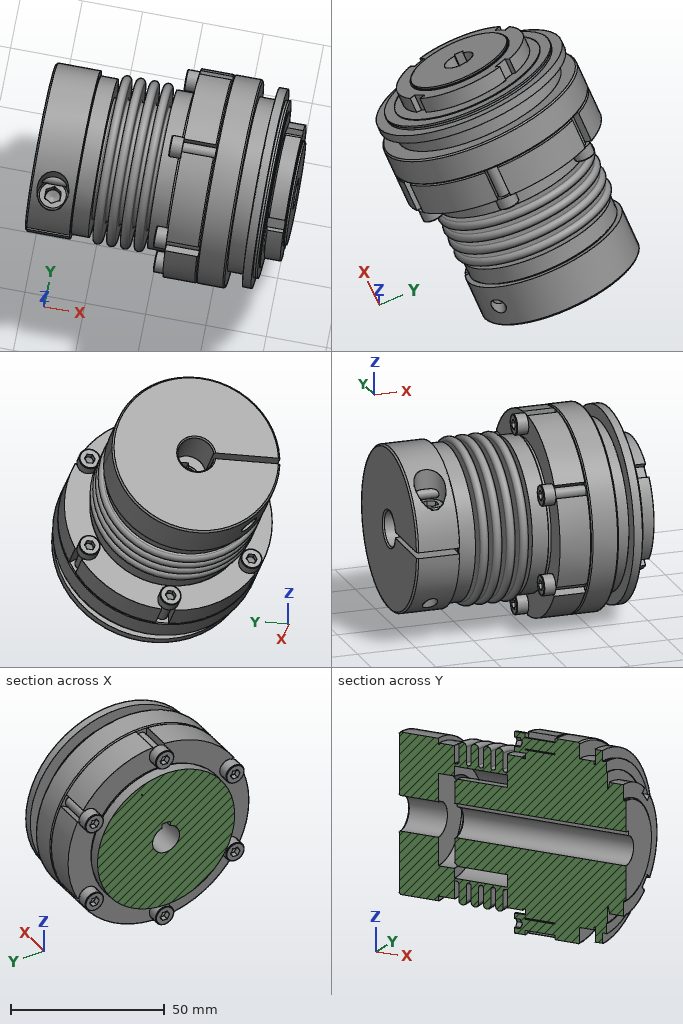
import cadquery as cq
import math

LENGTH = 84.5

HUB_DIA = 55.8
HUB_END = 14.7
HUB_CHAMFER = 0.6
SLIT_WIDTH = 2.0

HUB_BORE_DIA = 12.0
NUT_BORE_DIA = 10.1
BORE_CHAMFER = 0.5
KEYWAY_WIDTH = 3.0
KEYWAY_TOP = 6.4

COLLAR_DIA = 52.6
NECK_DIA = 51.6
FRONT_COLLAR_START = 15.0
FRONT_COLLAR_END = 20.7
REAR_COLLAR_START = 40.3
REAR_COLLAR_END = 46.0
WAVE_COUNT = 4
WAVE_PITCH = 4.6
WAVE_WIDTH = 2.95
CREST_DIA = HUB_DIA
ROOT_DIA = 40.2

COLLAR_CAVITY_DIA = 31.4
BELLOWS_CAVITY_DIA = 38.2
BOSS_DIA = 30.0
BOSS_START = FRONT_COLLAR_END
BOSS_CHAMFER = 1.2

FLANGE_DIA = 69.0
FLANGE_START = 47.0
FLANGE_SPLIT = 58.0
FLANGE_END = 67.35
FLANGE_CHAMFER = 0.5
SPLIT_CHAMFER = 0.4

RING_DIA = 57.9
RING_END = 72.7
RING_GROOVE_DIA = 55.8
WASHER_DIA = 66.1
WASHER_START = 73.0
WASHER_END = 75.9
STOP_DIA = 58.8
STOP_END = 76.6
CLIP_DIA = 59.0
CLIP_END = 77.3
SHIM_END = 77.65

NUT_DIA = 45.1
NUT_FACE_DIA = 39.3
NUT_TAPER = 0.7
NUT_END = 83.6
NUT_SLOT_WIDTH = 4.8
NUT_SLOT_FLOOR = 20.3
NUT_SLOT_COUNT = 4
FIRST_NUT_SLOT_ANGLE = 45
SHOULDER_DIA = 35.0
SHOULDER_END = 83.9
SLEEVE_DIA = 34.1

SCREW_COUNT = 6
SCREW_HEAD_DIA = 7.0
SCREW_HEAD_HEIGHT = 4.05
SCREW_SHANK_DIA = 4.0
SCREW_SOCKET = 3.0
SCREW_SOCKET_DEPTH = 2.0
SCREW_RADIUS = (FLANGE_DIA - SCREW_HEAD_DIA) / 2
SCREW_SLOT_WIDTH = 4.4
SCREW_CHAMFER = 0.25

CLAMP_X = 7.5
CLAMP_Y = -19.0
CLAMP_HEAD_TOP = 14.3
CLAMP_HEAD_DIA = 10.0
CLAMP_HEAD_HEIGHT = 6.0
CLAMP_HEAD_CHAMFER = 0.6
CLAMP_SHANK_DIA = 6.0
CLAMP_SHANK_END = -11.8
CLAMP_SOCKET = 5.0
CLAMP_SOCKET_DEPTH = 2.95
COUNTERBORE_DIA = 10.4
CLEARANCE_DIA = 6.4
TAP_DIA = 5.0
PIN_DIA = 3.3
PIN_Y = -14.3

DRILL_HALF_ANGLE = math.radians(59)


def disc(start, end, diameter):
    """Cylinder on the X axis between two stations."""
    return cq.Workplane("YZ", origin=(start, 0, 0)).circle(diameter / 2).extrude(end - start)


def post(bottom, top, diameter):
    """Cylinder on the clamp screw axis between two heights."""
    return cq.Workplane("XY", origin=(CLAMP_X, CLAMP_Y, bottom)).circle(diameter / 2).extrude(top - bottom)


def socket(plane, across_flats, depth):
    """Hexagon socket with a conical bottom, sunk against the plane's normal."""
    across_corners = across_flats / math.cos(math.pi / 6)
    cone_height = across_flats / 2 / math.tan(DRILL_HALF_ANGLE)
    hexagon = cq.Workplane(plane).polygon(6, across_corners).extrude(-depth)
    cone = cq.Solid.makeCone(
        across_flats / 2, 0, cone_height, plane.origin - plane.zDir * depth, plane.zDir * -1
    )
    return hexagon.union(cone)


def bellows():
    """Row of round-topped waves; the roots are half round between two waves."""
    crest_radius = WAVE_WIDTH / 2
    root_fillet = (WAVE_PITCH - WAVE_WIDTH) / 2
    root = ROOT_DIA / 2
    wall_bottom = root + root_fillet
    wall_top = CREST_DIA / 2 - crest_radius
    middle = (FRONT_COLLAR_END + REAR_COLLAR_START) / 2
    first = middle - WAVE_PITCH * (WAVE_COUNT - 1) / 2
    diagonal = root_fillet * (1 - math.sqrt(0.5))

    profile = cq.Workplane("XY").moveTo(FRONT_COLLAR_END, 0).lineTo(FRONT_COLLAR_END, root)
    profile = profile.lineTo(first - crest_radius - root_fillet, root)
    for index in range(WAVE_COUNT):
        center = first + index * WAVE_PITCH
        left = center - crest_radius
        right = center + crest_radius
        profile = (
            profile.threePointArc((left - diagonal, root + diagonal), (left, wall_bottom))
            .lineTo(left, wall_top)
            .threePointArc((center, CREST_DIA / 2), (right, wall_top))
            .lineTo(right, wall_bottom)
            .threePointArc((right + diagonal, root + diagonal), (right + root_fillet, root))
        )
    profile = profile.lineTo(REAR_COLLAR_START, root).lineTo(REAR_COLLAR_START, 0).close()
    return profile.revolve(360, (0, 0, 0), (1, 0, 0))


def clamp_hub():
    hub = disc(0, HUB_END, HUB_DIA).faces("<X").chamfer(HUB_CHAMFER)
    slit = cq.Workplane("XY").box(HUB_END, HUB_DIA, SLIT_WIDTH, centered=(False, False, True))
    slit = slit.translate((0, -HUB_DIA, 0))
    seat = CLAMP_HEAD_TOP - CLAMP_HEAD_HEIGHT
    hub = (
        hub.cut(slit)
        .cut(post(seat, HUB_DIA / 2, COUNTERBORE_DIA))
        .cut(post(0, seat, CLEARANCE_DIA))
        .cut(post(-HUB_DIA / 2, 0, TAP_DIA))
    )
    head = post(seat, CLAMP_HEAD_TOP, CLAMP_HEAD_DIA).faces(">Z").chamfer(CLAMP_HEAD_CHAMFER)
    top_plane = cq.Plane((CLAMP_X, CLAMP_Y, CLAMP_HEAD_TOP), xDir=(0, 1, 0), normal=(0, 0, 1))
    head = head.cut(socket(top_plane, CLAMP_SOCKET, CLAMP_SOCKET_DEPTH))
    pin = (
        cq.Workplane("YZ", origin=(CLAMP_X, PIN_Y, CLAMP_HEAD_TOP + PIN_DIA / 2))
        .circle(PIN_DIA / 2)
        .extrude(COUNTERBORE_DIA / 2, both=True)
    )
    return hub.union(post(CLAMP_SHANK_END, seat, CLAMP_SHANK_DIA)).union(head).union(pin)


def flanges():
    front = disc(FLANGE_START, FLANGE_SPLIT, FLANGE_DIA).faces(">X").chamfer(SPLIT_CHAMFER)
    rear = disc(FLANGE_SPLIT, FLANGE_END, FLANGE_DIA)
    rear = rear.faces("<X").chamfer(SPLIT_CHAMFER).faces(">X").chamfer(FLANGE_CHAMFER)

    axis = (0, 0, SCREW_RADIUS)
    depth = FLANGE_SPLIT - FLANGE_START
    slot = cq.Workplane("YZ", origin=(FLANGE_START, 0, 0)).center(0, SCREW_RADIUS)
    slot = slot.circle(SCREW_SLOT_WIDTH / 2).extrude(depth)
    mouth = cq.Workplane("XY").box(depth, SCREW_SLOT_WIDTH, SCREW_HEAD_DIA, centered=(False, True, False))
    slot = slot.union(mouth.translate((FLANGE_START, 0, SCREW_RADIUS)))
    head_face = FLANGE_START - SCREW_HEAD_HEIGHT
    head = disc(head_face, FLANGE_START, SCREW_HEAD_DIA).faces("<X").chamfer(SCREW_CHAMFER)
    head_plane = cq.Plane((head_face, 0, 0), xDir=(0, 1, 0), normal=(-1, 0, 0))
    head = head.cut(socket(head_plane, SCREW_SOCKET, SCREW_SOCKET_DEPTH)).translate(axis)
    shank = disc(FLANGE_START, FLANGE_SPLIT + SPLIT_CHAMFER, SCREW_SHANK_DIA).translate(axis)
    screw = head.union(shank)

    turns = [index * 360 / SCREW_COUNT for index in range(SCREW_COUNT)]
    for turn in turns:
        front = front.cut(slot.rotate((0, 0, 0), (1, 0, 0), turn))
    body = front.union(rear)
    for turn in turns:
        body = body.union(screw.rotate((0, 0, 0), (1, 0, 0), turn))
    return body


def locknut():
    nut = disc(SHIM_END, NUT_END, NUT_DIA)
    nut = nut.faces("<X").chamfer(NUT_TAPER, (NUT_DIA - NUT_FACE_DIA) / 2)
    slot = cq.Workplane("XY").box(
        NUT_END - SHIM_END, NUT_SLOT_WIDTH, NUT_DIA, centered=(False, True, False)
    )
    slot = slot.translate((SHIM_END, 0, NUT_SLOT_FLOOR))
    for index in range(NUT_SLOT_COUNT):
        nut = nut.cut(slot.rotate((0, 0, 0), (1, 0, 0), FIRST_NUT_SLOT_ANGLE + index * 360 / NUT_SLOT_COUNT))
    return nut


def cavity():
    """Hollow inside the front collar and the bellows, around the boss."""
    front = disc(HUB_END, FRONT_COLLAR_END, COLLAR_CAVITY_DIA)
    rear = disc(FRONT_COLLAR_END, REAR_COLLAR_START, BELLOWS_CAVITY_DIA)
    boss = disc(BOSS_START, REAR_COLLAR_START, BOSS_DIA).faces("<X").chamfer(BOSS_CHAMFER)
    return front.union(rear).cut(boss)


def bores():
    hub_bore = disc(0, HUB_END, HUB_BORE_DIA)
    nut_bore = disc(BOSS_START, LENGTH, NUT_BORE_DIA)
    keyway = cq.Workplane("XY").box(
        LENGTH - BOSS_START, KEYWAY_WIDTH, KEYWAY_TOP, centered=(False, True, False)
    )
    keyway = keyway.translate((BOSS_START, 0, 0))
    tool = hub_bore.union(nut_bore).union(keyway)
    for start, diameter in ((0, HUB_BORE_DIA), (BOSS_START, NUT_BORE_DIA)):
        radius = diameter / 2
        cone = cq.Solid.makeCone(
            radius + BORE_CHAMFER, radius, BORE_CHAMFER, cq.Vector(start, 0, 0), cq.Vector(1, 0, 0)
        )
        tool = tool.union(cone)
    return tool


plain_discs = (
    (HUB_END, FRONT_COLLAR_START, NECK_DIA),
    (FRONT_COLLAR_START, FRONT_COLLAR_END, COLLAR_DIA),
    (REAR_COLLAR_START, REAR_COLLAR_END, COLLAR_DIA),
    (REAR_COLLAR_END, FLANGE_START, NECK_DIA),
    (FLANGE_END, RING_END, RING_DIA),
    (RING_END, WASHER_START, RING_GROOVE_DIA),
    (WASHER_START, WASHER_END, WASHER_DIA),
    (WASHER_END, STOP_END, STOP_DIA),
    (STOP_END, CLIP_END, CLIP_DIA),
    (CLIP_END, SHIM_END, NECK_DIA),
    (NUT_END, SHOULDER_END, SHOULDER_DIA),
    (SHOULDER_END, LENGTH, SLEEVE_DIA),
)

body = clamp_hub().union(bellows()).union(flanges()).union(locknut())
for start, end, diameter in plain_discs:
    body = body.union(disc(start, end, diameter))
result = body.cut(cavity()).cut(bores())